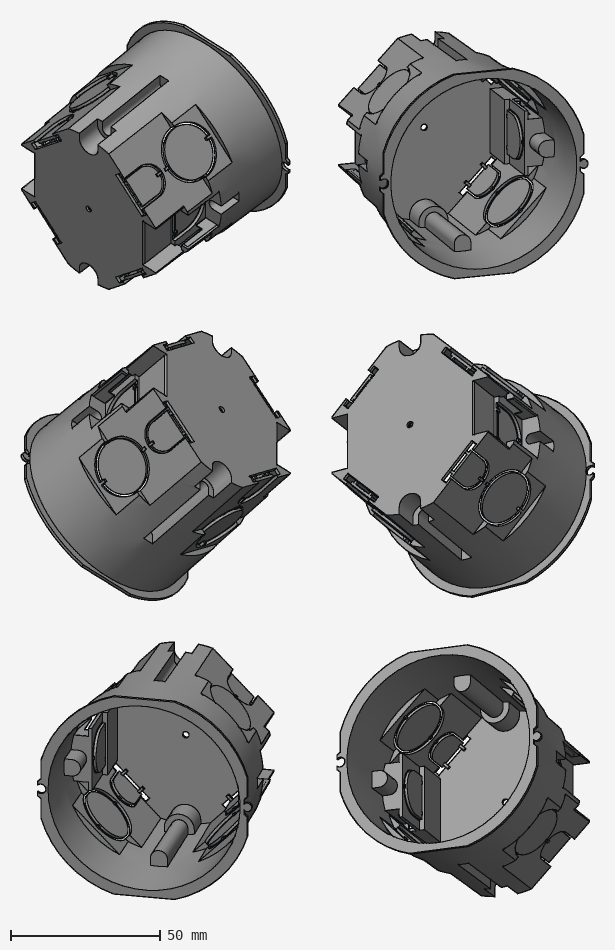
import cadquery as cq
import math


depth = 60.0
flange_thickness = 1.0
wall = 1.0
floor = 0.9
floor_edge_flare = 0.3
base_radius = 32.95
rim_radius = 34.05
centre_hole_radius = 1.1
body_height = depth - flange_thickness
draft = math.atan((rim_radius - base_radius) / body_height)
flare = math.atan(floor_edge_flare / floor)
far = 44.2

flange_radius = 37.0
flange_width = 71.0
flange_flat = flange_width / 2
ball_radius = 1.55
socket_radius = 1.7
notch_depth = 1.2
notch_half_width = 3.55
notch_half_width_at_tip = 2.5

groove_radius = 1.9
groove_bottom = 28.0
groove_end = 37.9
wide_groove_radius = 4.1
wide_groove_bottom = 26.0
wide_groove_end = 9.1

flat_distance = 28.8
flat_step = 2 * wall
lower_flat_end = 26.1
upper_flat_end = groove_end
disc_centre = 26.3
disc_hole_radius = 10.1
disc_radius = 9.4
arch_top = 13.85
arch_half_width = 6.05
arch_gap = 0.6
slot_half_length = 8.3
slot_inner = 3.3
slot_outer = 0.9
slot_bar_offset = 4.05

low_pocket_end = 13.9
low_pocket_half_width = 10.2
low_pocket_face = 24.5
low_pocket_trim = 30.15
high_pocket_end = 29.1
high_pocket_half_width = 7.95
high_pocket_face = 26.4
high_pocket_trim = 32.4
high_pocket_wall = 1.2
pocket_side_wall = 0.3
side_opening_end = 24.3
trim_half_width = 12.5
window_top = 28.7
window_half_width = 7.9
window_gap = 0.3
window_plate_bottom = 15.4
window_bar_offset = 5.45
ledge_hole_outer = 29.2

tab_width = 1.0
tab_length = 2.0
tab_overlap = 0.45
flush_tab_height = 0.2

groove_angles = (0, 90, 180, 270)
wide_groove_angles = (0, 180)
pocket_angles = (90, 270)
flat_angles = (45, 135, 225, 315)


def facing(angle, distance=0.0, tilt=0.0):
    """Plane facing outward from the axis: local x runs around the box, local y toward the rim."""
    a = math.radians(angle)
    normal = (math.sin(a) * math.cos(tilt), -math.sin(tilt), math.cos(a) * math.cos(tilt))
    origin = (distance * math.sin(a), 0, distance * math.cos(a))
    return cq.Plane(origin=origin, xDir=(math.cos(a), 0, -math.sin(a)), normal=normal)


def block(plane, x, y, z):
    """Box spanning the (low, high) pairs x, y and z of the plane."""
    return (
        cq.Workplane(plane)
        .workplane(offset=z[0])
        .center((x[0] + x[1]) / 2, (y[0] + y[1]) / 2)
        .rect(x[1] - x[0], y[1] - y[0])
        .extrude(z[1] - z[0])
    )


def arch(plane, half_width, bottom, top, z):
    """Plate with straight sides and a semicircular top."""
    spring = top - half_width
    return (
        cq.Workplane(plane)
        .workplane(offset=z[0])
        .moveTo(-half_width, bottom)
        .lineTo(half_width, bottom)
        .lineTo(half_width, spring)
        .threePointArc((0, top), (-half_width, spring))
        .close()
        .extrude(z[1] - z[0])
    )


def round_plate(plane, radius, z):
    """Disc at the height of the round knockout, spanning the pair z."""
    base = cq.Workplane(plane).workplane(offset=z[0])
    return base.center(0, disc_centre).circle(radius).extrude(z[1] - z[0])


def tab(plane, x, y, z):
    """Tab centred on x that spans the pairs y and z."""
    return block(plane, (x - tab_width / 2, x + tab_width / 2), y, z)


def cone(radius_at_floor, bottom, top):
    """Drafted round body between two heights."""
    low = radius_at_floor + bottom * math.tan(draft)
    high = radius_at_floor + top * math.tan(draft)
    return (
        cq.Workplane("XY")
        .polyline([(0, bottom), (low, bottom), (high, top), (0, top)])
        .close()
        .revolve(360, (0, 0), (0, 1))
    )


def groove(angle, radius, bottom, end, grow):
    """Round-bottomed groove from the floor up to its end, enlarged by grow."""
    outer = radius + grow
    centre = bottom + radius
    plane = facing(angle)
    rounded = (
        cq.Workplane("XZ")
        .center(centre * plane.zDir.x, centre * plane.zDir.z)
        .circle(outer)
        .extrude(-(end + grow))
    )
    return rounded.union(block(plane, (-outer, outer), (0, end + grow), (centre, far)))


def flat_plane(angle):
    """Plane of the lower diagonal flat, tilted to follow the draft."""
    return facing(angle, flat_distance, draft)


def diagonal_recess(angle, grow):
    """Two stepped flats across a diagonal corner."""
    plane = flat_plane(angle)
    lower = block(plane, (-far, far), (-wall, lower_flat_end + grow), (-grow, far))
    upper = block(plane, (-far, far), (-wall, upper_flat_end + grow), (flat_step - grow, far))
    return lower.union(upper)


def side_pocket(angle, grow, face_grow, side_grow):
    """Two stepped pockets with the thin corners beside them trimmed off."""
    plane = facing(angle)
    low_half = low_pocket_half_width + grow
    high_half = high_pocket_half_width + side_grow
    low_y = (0, low_pocket_end + grow)
    high_y = (0, high_pocket_end + grow)
    trim_x = (-trim_half_width, trim_half_width)
    pocket = block(plane, (-low_half, low_half), low_y, (low_pocket_face - grow, far))
    pocket = pocket.union(block(plane, (-high_half, high_half), high_y, (high_pocket_face - face_grow, far)))
    pocket = pocket.union(block(plane, trim_x, low_y, (low_pocket_trim - grow, far)))
    return pocket.union(block(plane, trim_x, high_y, (high_pocket_trim - grow, far)))


def pocket_frame(angle):
    """Wall behind the upper pocket, as wide as the lower pocket with its walls."""
    half = low_pocket_half_width + wall
    z = (high_pocket_face - high_pocket_wall, high_pocket_face)
    return block(facing(angle), (-half, half), (low_pocket_end, high_pocket_end + wall), z)


def recesses(grow, face_grow, side_grow):
    """Every recess in the body; the grown set leaves the wall around each one."""
    cutters = [groove(a, groove_radius, groove_bottom, groove_end, grow) for a in groove_angles]
    cutters += [
        groove(a, wide_groove_radius, wide_groove_bottom, wide_groove_end, grow)
        for a in wide_groove_angles
    ]
    cutters += [diagonal_recess(a, grow) for a in flat_angles]
    cutters += [side_pocket(a, grow, face_grow, side_grow) for a in pocket_angles]
    return cutters


def subtract(body, cutters):
    """Body with every cutter removed."""
    for cutter in cutters:
        body = body.cut(cutter)
    return body


def make_flange():
    """Flattened round flange with a ball at -X and a socket at +X."""
    disc = cq.Workplane("XZ").circle(flange_radius).extrude(-flange_thickness)
    limits = cq.Workplane("XZ").rect(flange_width, flange_width).extrude(-flange_thickness)

    def lug_outline(x, direction):
        """Tapered outline standing on x and reaching one notch depth along direction."""
        tip = x + direction * notch_depth
        return (
            cq.Workplane("XZ")
            .polyline([
                (x - direction * notch_depth, -notch_half_width),
                (x, -notch_half_width),
                (tip, -notch_half_width_at_tip),
                (tip, notch_half_width_at_tip),
                (x, notch_half_width),
                (x - direction * notch_depth, notch_half_width),
            ])
            .close()
            .extrude(-flange_thickness)
        )

    def round_peg(x, radius):
        return cq.Workplane("XZ").center(x, 0).circle(radius).extrude(-flange_thickness)

    flange = disc.intersect(limits)
    flange = flange.cut(lug_outline(-flange_flat, 1)).union(round_peg(-flange_flat, ball_radius))
    flange = flange.union(lug_outline(flange_flat, 1)).cut(round_peg(flange_flat, socket_radius))
    return flange.translate((0, body_height, 0))


def floor_slot(angle):
    """Slot through the floor behind a diagonal flat, flared toward the outer face."""
    outward = facing(angle).zDir
    middle = flat_distance - (slot_inner + slot_outer) / 2
    plane = cq.Plane(origin=outward * middle, xDir=facing(angle).xDir, normal=(0, 1, 0))
    return (
        cq.Workplane(plane)
        .rect(2 * slot_half_length, slot_inner - slot_outer)
        .extrude(floor, taper=math.degrees(flare))
    )


def cut_diagonal_openings(body, angle):
    """Round and arched holes in the diagonal flats, and the floor slot behind them."""
    plane = flat_plane(angle)
    body = body.cut(round_plate(plane, disc_hole_radius, (-2 * wall, 2 * flat_step)))
    body = body.cut(arch(plane, arch_half_width, -wall, arch_top, (-2 * wall, wall)))
    return body.cut(floor_slot(angle))


def diagonal_knockouts(angle):
    """Round and arched break-out plates with the tabs that carry them."""
    plane = flat_plane(angle)
    hole_top = disc_centre + disc_hole_radius
    hole_bottom = disc_centre - disc_hole_radius
    plates = round_plate(plane, disc_radius, (0, wall))
    arch_z = (-2 * wall, -wall)
    plates = plates.union(arch(plane, arch_half_width - arch_gap, floor, arch_top - arch_gap, arch_z))
    upper_y = (hole_top - tab_length, hole_top + tab_overlap)
    lower_y = (hole_bottom - tab_length / 2, hole_bottom + 2 * tab_overlap)
    arch_y = (arch_top - tab_length, arch_top + tab_overlap)
    plates = plates.union(tab(plane, 0, upper_y, (wall / 2, flat_step)))
    plates = plates.union(tab(plane, 0, lower_y, (-tab_overlap, flush_tab_height)))
    plates = plates.union(tab(plane, 0, arch_y, (-wall - tab_overlap, -tab_overlap)))
    bar_z = (-slot_inner - wall, -2 * wall + tab_overlap)
    for x in (-slot_bar_offset, slot_bar_offset):
        plates = plates.union(tab(plane, x, (floor, 2 * floor), bar_z))
    return plates


def cut_pocket_openings(body, angle):
    """Arched window, flared floor edge and the openings through the ledge corners."""
    plane = facing(angle)
    back = high_pocket_face - high_pocket_wall
    body = body.cut(arch(plane, window_half_width, low_pocket_end, window_top, (back, far)))
    half = low_pocket_half_width
    floor_edge = facing(angle, low_pocket_face - floor_edge_flare, flare)
    body = body.cut(block(floor_edge, (-half, half), (-floor, floor / math.cos(flare)), (0, wall)))
    z = (high_pocket_face, ledge_hole_outer)
    for x in ((-half, -high_pocket_half_width), (high_pocket_half_width, half)):
        body = body.cut(block(plane, x, (low_pocket_end, side_opening_end), z))
    return body


def pocket_knockout(angle):
    """Arched break-out plate behind the upper pocket face, with its tabs."""
    plane = facing(angle)
    back = high_pocket_face - high_pocket_wall
    inner = back - wall
    top = window_top - window_gap
    plate = arch(plane, window_half_width - window_gap, window_plate_bottom, top, (inner, back))
    top_y = (window_top - tab_length / 2, window_top + tab_overlap)
    plate = plate.union(tab(plane, 0, top_y, (back - tab_overlap, high_pocket_face - tab_overlap)))
    bottom_y = (low_pocket_end, window_plate_bottom + tab_overlap)
    for x in (-window_bar_offset, window_bar_offset):
        plate = plate.union(tab(plane, x, bottom_y, (inner, back + tab_overlap)))
    return plate


body = subtract(cone(base_radius, 0, body_height), recesses(0, 0, 0))
cavity = cone(base_radius - wall, floor, 2 * depth)
cavity = subtract(cavity, recesses(wall, high_pocket_wall, pocket_side_wall))
cavity = subtract(cavity, [pocket_frame(a) for a in pocket_angles])
body = body.union(make_flange()).cut(cavity)

for angle in flat_angles:
    body = cut_diagonal_openings(body, angle).union(diagonal_knockouts(angle))
for angle in pocket_angles:
    body = cut_pocket_openings(body, angle).union(pocket_knockout(angle))

centre_hole = cq.Workplane("XZ").circle(centre_hole_radius).extrude(-2 * floor)
result = body.cut(centre_hole)